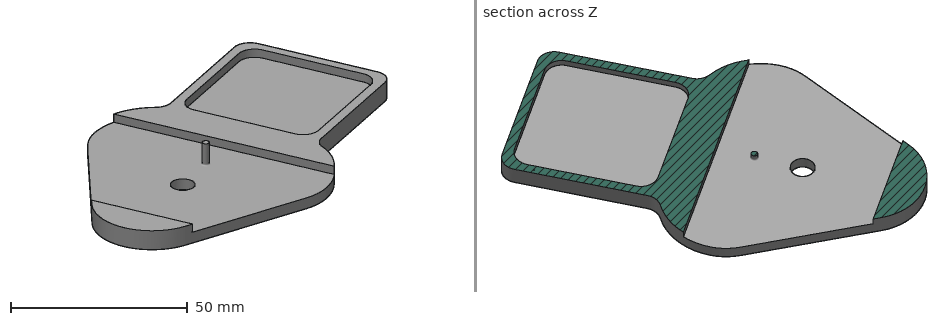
import cadquery as cq
import math

length = 119.0
plate_thickness = 6.1
floor_height = 3.5

tab_width = 48.0
tab_corner_radius = 5.0
neck_radius = 5.0
wall = 3.0
pocket_size = tab_width - 2 * wall
pocket_corner_radius = 5.0
pocket_depth = 2.6

body_width = 74.0
shoulder_y = 53.0
shoulder_radius = 20.0
corner_radius = 17.0

channel_start_y = 11.0
channel_end_y = 61.3

hole_diameter = 7.0
hole_y = 35.9
pin_diameter = 2.0
pin_top = 10.5
pin_y = 50.1
pin_root_radius = 0.5


def point_on_circle(center, radius, degrees):
    angle = math.radians(degrees)
    return (center[0] + radius * math.cos(angle), center[1] + radius * math.sin(angle))


def mirrored(point):
    return (-point[0], point[1])


def make_plate():
    half_body = body_width / 2
    half_tab = tab_width / 2
    upper_center = (half_body - shoulder_radius, shoulder_y)
    lower_center = (half_body - corner_radius, shoulder_y)
    tip_center = (0, corner_radius)

    side_angle = -math.degrees(math.atan2(lower_center[0], shoulder_y - corner_radius))

    neck_x = half_tab + neck_radius
    neck_dx = neck_x - upper_center[0]
    neck_dy = math.sqrt((shoulder_radius + neck_radius) ** 2 - neck_dx ** 2)
    neck_center = (neck_x, shoulder_y + neck_dy)
    neck_angle = math.degrees(math.atan2(neck_dy, neck_dx))

    tip_side = point_on_circle(tip_center, corner_radius, side_angle)
    corner_start = point_on_circle(lower_center, corner_radius, side_angle)
    corner_mid = point_on_circle(lower_center, corner_radius, side_angle / 2)
    widest = (half_body, shoulder_y)
    shoulder_mid = point_on_circle(upper_center, shoulder_radius, neck_angle / 2)
    shoulder_end = point_on_circle(upper_center, shoulder_radius, neck_angle)
    neck_mid = point_on_circle(neck_center, neck_radius, 180 + neck_angle / 2)
    neck_end = (half_tab, neck_center[1])

    outline = (
        cq.Workplane("XY")
        .moveTo(*tip_side)
        .lineTo(*corner_start)
        .threePointArc(corner_mid, widest)
        .threePointArc(shoulder_mid, shoulder_end)
        .threePointArc(neck_mid, neck_end)
        .lineTo(half_tab, length)
        .lineTo(-half_tab, length)
        .lineTo(*mirrored(neck_end))
        .threePointArc(mirrored(neck_mid), mirrored(shoulder_end))
        .threePointArc(mirrored(shoulder_mid), mirrored(widest))
        .threePointArc(mirrored(corner_mid), mirrored(corner_start))
        .lineTo(*mirrored(tip_side))
        .threePointArc((0, 0), tip_side)
        .close()
    )
    plate = outline.extrude(plate_thickness)
    return plate.edges("|Z").edges(">Y").fillet(tab_corner_radius)


def make_pocket():
    return (
        cq.Workplane("XY", origin=(0, length - wall - pocket_size / 2, plate_thickness - pocket_depth))
        .rect(pocket_size, pocket_size)
        .extrude(pocket_depth)
        .edges("|Z")
        .fillet(pocket_corner_radius)
    )


def make_channel():
    channel_length = channel_end_y - channel_start_y
    return (
        cq.Workplane("XY", origin=(0, channel_start_y + channel_length / 2, floor_height))
        .rect(body_width, channel_length)
        .extrude(plate_thickness - floor_height)
    )


def make_pin():
    """Upright pin with a concave fillet flaring into the floor."""
    pin_radius = pin_diameter / 2
    root_center = (pin_radius + pin_root_radius, floor_height + pin_root_radius)
    root_mid = point_on_circle(root_center, pin_root_radius, 225)
    half_profile = (
        cq.Workplane("XZ", origin=(0, pin_y, 0))
        .moveTo(0, 0)
        .lineTo(root_center[0], 0)
        .lineTo(root_center[0], floor_height)
        .threePointArc(root_mid, (pin_radius, root_center[1]))
        .lineTo(pin_radius, pin_top)
        .lineTo(0, pin_top)
        .close()
    )
    return half_profile.revolve(360, (0, 0, 0), (0, 1, 0))


def make_hole():
    return cq.Workplane("XY", origin=(0, hole_y, 0)).circle(hole_diameter / 2).extrude(plate_thickness)


result = (
    make_plate()
    .cut(make_pocket())
    .cut(make_channel())
    .cut(make_hole())
    .union(make_pin())
)